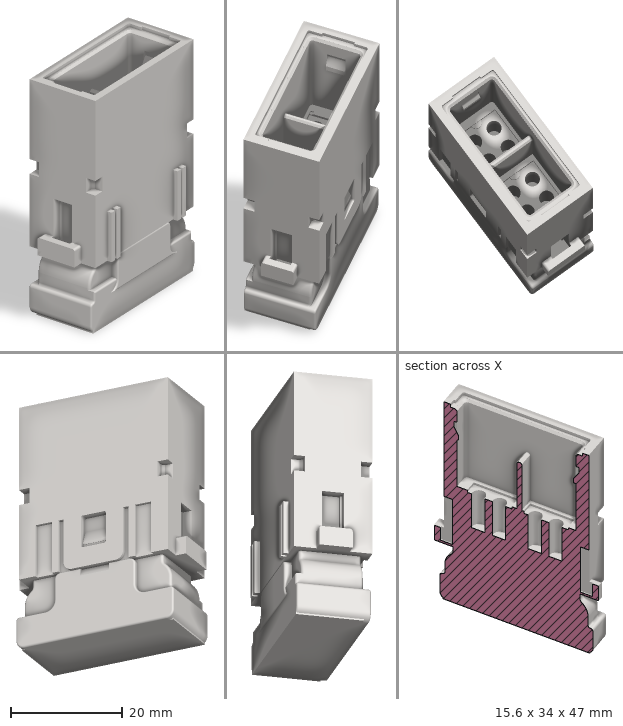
import cadquery as cq

TOTAL_HEIGHT = 46.95
EDGE_BREAK = 0.35

HOUSING_WIDTH = 14.6
HOUSING_LENGTH = 30.0
HOUSING_BOTTOM = 13.2
HALF_WIDTH = HOUSING_WIDTH / 2
HALF_LENGTH = HOUSING_LENGTH / 2

LIP_WIDTH = 11.6
LIP_LENGTH = 26.5
LIP_DEPTH = 0.7
LIP_CORNER_RADIUS = 0.4
LIP_NOTCH_WIDTH = 6.2
LIP_NOTCH_REACH = 0.35
CAVITY_WIDTH = 9.8
CAVITY_LENGTH = 24.4
CAVITY_CORNER_RADIUS = 0.6
CAVITY_LEAD_IN = 0.45
CHAMFER_MARGIN = 0.01
CAVITY_FLOOR = 28.0

DIVIDER_TOP = 39.2
DIVIDER_THICKNESS = 1.1
DIVIDER_Y = 0.6
DIVIDER_CHAMFER = 0.35

CATCH_WIDTH = 3.7
CATCH_POCKET_TOP = 43.1
CATCH_POCKET_DEPTH = 0.65
CATCH_RAMP_TOP = 41.85
CATCH_RAMP_BOTTOM = 40.1
CATCH_BOTTOM = 39.0
CATCH_REACH_REAR = 0.5
CATCH_REACH_FRONT = 0.3

MODULE_WIDTH = 8.5
MODULE_LENGTH = 9.1
MODULE_X = 0.05
MODULE_CENTERS_Y = (6.1, -5.55)
MODULE_DEPTH = 0.5
KEY_DEPTH = 0.25
KEY_RADIUS = 1.0
KEY_NOTCH_SIZE = 0.6
CONTACT_DIAMETER = 2.7
CONTACT_PITCH = 4.3
CONTACT_OFFSET_Y = -0.2
CONTACT_DEPTH = 8.0

CORNER_NOTCH_SIZE = 2.1
CORNER_NOTCH_CHAMFER = 0.5
CORNER_NOTCH_BOTTOM = 27.85
CORNER_NOTCH_HEIGHT = 2.95

SIDE_DETAIL_TOP = 23.2
SIDE_POCKET_WIDTH = 3.3
SIDE_POCKET_Y = 10.0
SIDE_POCKET_DEPTH = 0.7
SLOT_INNER_Y = 6.0
SLOT_WIDTH = 1.05
SLOT_DEPTH = 0.8
FLAP_CORNER_RADIUS = 1.6
WINDOW_WIDTH = 5.0
WINDOW_BOTTOM = 17.0
WINDOW_DEPTH = 1.6
WINDOW_CORNER_RADIUS = 0.35
TOOTH_WIDTH = 4.7
TOOTH_REACH = 1.0
TOOTH_TOP = 20.65
TOOTH_RAMP_END = 18.3
TOOTH_LIP = 17.75
TOOTH_STEP = 0.1
RIB_REACH = 1.0
RIB_THICKNESS = 1.05
RIB_CENTERS_Y = (10.8, 9.2, -9.2, -10.9)

EAR_REACH = 2.0
EAR_HEIGHT = 3.6
FRONT_EAR_WIDTH = 8.2
REAR_EAR_WIDTH = 6.2
EAR_CORNER_RADIUS = 0.45
GROOVE_WIDTH = 4.1
GROOVE_TOP = 24.4
GROOVE_DEPTH = 1.7
GROOVE_STEP_WIDTH = 0.37
GROOVE_STEP_DEPTH = 0.55
EAR_RELIEF_DEPTH = 0.6
EAR_RELIEF_HEIGHT = 3.0

BASE_LEFT = -6.85
BASE_RIGHT = 7.0
BASE_HALF_LENGTH = 15.85
BASE_TOP = 6.05
BASE_BOTTOM_RADIUS = 1.5
BASE_TOP_RADIUS = 0.6

NECK_LEFT = -5.65
NECK_RIGHT = 5.85
NECK_HALF_LENGTH = 14.85
NECK_FOOT_RADIUS = 0.4
NECK_ROUND_BOTTOM = 8.5
NECK_ROUND_TOP = 11.38
NECK_ROUND_TOP_Y = 13.5
NECK_ROUND_RADIUS = 3.76
NECK_HOLLOW_RADIUS = 0.94
NECK_HOLLOW_TOP = 12.1
NECK_TOP_HALF_LENGTH = 13.15
NECK_FILLET = 0.5
SHELF_TOP = 8.15

TONGUE_HALF_LENGTH = 8.1
TONGUE_FLARE_RADIUS = 2.0
TONGUE_CORNER_RADIUS = 1.1
TONGUE_NOTCH_WIDTH = 5.8
TONGUE_NOTCH_BOTTOM = 11.75
TONGUE_NOTCH_DEPTH = 0.8


def box(x_min, x_max, y_min, y_max, z_min, z_max):
    """Axis-aligned box between the given limits."""
    block = cq.Workplane("XY").box(x_max - x_min, y_max - y_min, z_max - z_min, centered=False)
    return block.translate((x_min, y_min, z_min))


def centered_box(width, length, z_min, z_max, x=0.0, y=0.0):
    """Upright box centred on (x, y)."""
    return box(x - width / 2, x + width / 2, y - length / 2, y + length / 2, z_min, z_max)


def both_ends(solid):
    """The solid together with its mirror image across Y = 0."""
    return solid.union(solid.mirror("XZ"))


def extrude_along_x(profile, x_min, x_max):
    """Extrude a closed (y, z) profile from x_min to x_max."""
    return profile.extrude(x_max - x_min).translate((x_min, 0, 0))


def make_cavity():
    well_top = TOTAL_HEIGHT - LIP_DEPTH
    lip = centered_box(LIP_WIDTH, LIP_LENGTH, well_top, TOTAL_HEIGHT)
    lip = lip.edges("|Z").fillet(LIP_CORNER_RADIUS)
    notch_length = LIP_LENGTH + 2 * LIP_NOTCH_REACH
    lip_notch = centered_box(LIP_NOTCH_WIDTH, notch_length, well_top, TOTAL_HEIGHT)
    well = centered_box(CAVITY_WIDTH, CAVITY_LENGTH, CAVITY_FLOOR, well_top)
    well = well.edges("|Z").fillet(CAVITY_CORNER_RADIUS)
    lead_in = centered_box(
        CAVITY_WIDTH + 2 * CAVITY_LEAD_IN,
        CAVITY_LENGTH + 2 * CAVITY_LEAD_IN,
        well_top - CAVITY_LEAD_IN,
        well_top,
    )
    lead_in = lead_in.edges("|Z").fillet(CAVITY_CORNER_RADIUS + CAVITY_LEAD_IN)
    lead_in = lead_in.faces("<Z").edges().chamfer(CAVITY_LEAD_IN - CHAMFER_MARGIN)
    return lip.union(lip_notch).union(well).union(lead_in)


def make_divider():
    divider = centered_box(CAVITY_WIDTH, DIVIDER_THICKNESS, CAVITY_FLOOR, DIVIDER_TOP, y=DIVIDER_Y)
    return divider.edges(">Z and |X").chamfer(DIVIDER_CHAMFER)


def make_catch_pocket(end):
    """Pocket sunk into the cavity end wall; end is +1 or -1."""
    depth = 2 * CATCH_POCKET_DEPTH
    return centered_box(
        CATCH_WIDTH, depth, CATCH_BOTTOM, CATCH_POCKET_TOP, y=end * CAVITY_LENGTH / 2
    )


def make_catch(end, reach):
    """Ramp rising from the pocket floor and standing out of the end wall by reach."""
    wall = CAVITY_LENGTH / 2
    root = end * (wall + CATCH_POCKET_DEPTH)
    tip = end * (wall - reach)
    profile = (
        cq.Workplane("YZ")
        .moveTo(root, CATCH_RAMP_TOP)
        .lineTo(tip, CATCH_RAMP_BOTTOM)
        .lineTo(tip, CATCH_BOTTOM)
        .lineTo(root, CATCH_BOTTOM)
        .close()
    )
    return extrude_along_x(profile, -CATCH_WIDTH / 2, CATCH_WIDTH / 2)


def make_module_recess(center_y):
    """Recess of one contact module with its index key and four contact holes."""
    face = CAVITY_FLOOR - MODULE_DEPTH
    recess = centered_box(MODULE_WIDTH, MODULE_LENGTH, face, CAVITY_FLOOR, MODULE_X, center_y)
    key = (
        cq.Workplane("XY", origin=(MODULE_X, center_y + MODULE_LENGTH / 2, face))
        .circle(KEY_RADIUS)
        .extrude(MODULE_DEPTH - KEY_DEPTH)
    )
    key_notch = centered_box(
        KEY_NOTCH_SIZE,
        KEY_NOTCH_SIZE,
        CAVITY_FLOOR - KEY_DEPTH,
        CAVITY_FLOOR,
        MODULE_X + (MODULE_WIDTH - KEY_NOTCH_SIZE) / 2,
        center_y - (MODULE_LENGTH + KEY_NOTCH_SIZE) / 2,
    )
    contacts = (
        cq.Workplane("XY", origin=(MODULE_X, center_y + CONTACT_OFFSET_Y, face))
        .rarray(CONTACT_PITCH, CONTACT_PITCH, 2, 2)
        .circle(CONTACT_DIAMETER / 2)
        .extrude(-CONTACT_DEPTH)
    )
    return recess.cut(key).union(key_notch).union(contacts)


def make_corner_notches():
    """Square cuts across the four vertical edges, each with a chamfered inner corner."""
    cuts = cq.Workplane("XY")
    for side_x in (-1, 1):
        for side_y in (-1, 1):
            notch = centered_box(
                2 * CORNER_NOTCH_SIZE,
                2 * CORNER_NOTCH_SIZE,
                CORNER_NOTCH_BOTTOM,
                CORNER_NOTCH_BOTTOM + CORNER_NOTCH_HEIGHT,
                side_x * HALF_WIDTH,
                side_y * HALF_LENGTH,
            )
            cuts = cuts.union(notch.edges("|Z").chamfer(CORNER_NOTCH_CHAMFER))
    return cuts


def make_side_pockets():
    """Two shallow pockets and the two slots that free the latch flap, on the -X wall."""
    pocket = box(
        -HALF_WIDTH,
        -HALF_WIDTH + SIDE_POCKET_DEPTH,
        SIDE_POCKET_Y - SIDE_POCKET_WIDTH / 2,
        SIDE_POCKET_Y + SIDE_POCKET_WIDTH / 2,
        HOUSING_BOTTOM,
        SIDE_DETAIL_TOP,
    )
    slot_profile = (
        cq.Workplane("YZ")
        .moveTo(SLOT_INNER_Y - FLAP_CORNER_RADIUS, HOUSING_BOTTOM)
        .radiusArc((SLOT_INNER_Y, HOUSING_BOTTOM + FLAP_CORNER_RADIUS), -FLAP_CORNER_RADIUS)
        .lineTo(SLOT_INNER_Y, SIDE_DETAIL_TOP)
        .lineTo(SLOT_INNER_Y + SLOT_WIDTH, SIDE_DETAIL_TOP)
        .lineTo(SLOT_INNER_Y + SLOT_WIDTH, HOUSING_BOTTOM)
        .close()
    )
    slot = extrude_along_x(slot_profile, -HALF_WIDTH, -HALF_WIDTH + SLOT_DEPTH)
    return both_ends(pocket.union(slot))


def make_window():
    floor_x = -HALF_WIDTH + WINDOW_DEPTH
    window = box(
        -HALF_WIDTH, floor_x, -WINDOW_WIDTH / 2, WINDOW_WIDTH / 2, WINDOW_BOTTOM, SIDE_DETAIL_TOP
    )
    return window.edges("|X").fillet(WINDOW_CORNER_RADIUS)


def make_window_tooth():
    """Ramped latch tooth standing on the floor of the window, stepped back at its foot."""
    root = -HALF_WIDTH + WINDOW_DEPTH
    tip = root - TOOTH_REACH
    profile = (
        cq.Workplane("XZ")
        .moveTo(root, TOOTH_TOP)
        .lineTo(tip, TOOTH_RAMP_END)
        .lineTo(tip, TOOTH_LIP)
        .lineTo(tip + TOOTH_STEP, TOOTH_LIP)
        .lineTo(tip + TOOTH_STEP, WINDOW_BOTTOM)
        .lineTo(root, WINDOW_BOTTOM)
        .close()
    )
    return profile.extrude(TOOTH_WIDTH / 2, both=True)


def make_ribs():
    """Coding ribs on the +X wall."""
    ribs = cq.Workplane("XY")
    for rib_y in RIB_CENTERS_Y:
        half = RIB_THICKNESS / 2
        rib = box(
            HALF_WIDTH, HALF_WIDTH + RIB_REACH, rib_y - half, rib_y + half, HOUSING_BOTTOM, SIDE_DETAIL_TOP
        )
        ribs = ribs.union(rib)
    return ribs


def make_groove():
    """Stepped groove in the -Y end wall, running down behind the ear."""
    bottom = HOUSING_BOTTOM + EAR_HEIGHT - EAR_RELIEF_HEIGHT
    step_y = -HALF_LENGTH + GROOVE_DEPTH
    half_wide = GROOVE_WIDTH / 2
    half_narrow = half_wide - GROOVE_STEP_WIDTH
    wide = box(-half_wide, half_wide, -HALF_LENGTH, step_y, bottom, GROOVE_TOP)
    narrow = box(-half_narrow, half_narrow, step_y, step_y + GROOVE_STEP_DEPTH, bottom, GROOVE_TOP)
    return wide.union(narrow)


def make_ear(width):
    """Ear on the -Y end, relieved where the groove runs down behind it."""
    ear_top = HOUSING_BOTTOM + EAR_HEIGHT
    ear = box(-width / 2, width / 2, -HALF_LENGTH - EAR_REACH, -HALF_LENGTH, HOUSING_BOTTOM, ear_top)
    ear = ear.edges(">Z and |Y").fillet(EAR_CORNER_RADIUS)
    relief = box(
        -GROOVE_WIDTH / 2,
        GROOVE_WIDTH / 2,
        -HALF_LENGTH - EAR_RELIEF_DEPTH,
        -HALF_LENGTH,
        ear_top - EAR_RELIEF_HEIGHT,
        ear_top,
    )
    return ear.cut(relief)


def make_housing():
    housing = centered_box(HOUSING_WIDTH, HOUSING_LENGTH, HOUSING_BOTTOM, TOTAL_HEIGHT)
    housing = housing.cut(make_cavity()).union(make_divider())
    for end, reach in ((1, CATCH_REACH_REAR), (-1, CATCH_REACH_FRONT)):
        housing = housing.cut(make_catch_pocket(end)).union(make_catch(end, reach))
    for center_y in MODULE_CENTERS_Y:
        housing = housing.cut(make_module_recess(center_y))
    housing = housing.cut(make_corner_notches())
    housing = housing.cut(make_side_pockets())
    housing = housing.cut(make_window()).union(make_window_tooth())
    housing = housing.cut(both_ends(make_groove()))
    housing = housing.union(make_ribs())
    housing = housing.union(make_ear(FRONT_EAR_WIDTH))
    return housing.union(make_ear(REAR_EAR_WIDTH).mirror("XZ"))


def extrude_neck(x_max, top):
    """Neck with ends that flare smoothly out to the base, from NECK_LEFT to x_max, cut off at top."""
    half = (
        cq.Workplane("YZ")
        .moveTo(0, 0)
        .lineTo(0, HOUSING_BOTTOM)
        .lineTo(NECK_TOP_HALF_LENGTH, HOUSING_BOTTOM)
        .lineTo(NECK_TOP_HALF_LENGTH, NECK_HOLLOW_TOP)
        .radiusArc((NECK_ROUND_TOP_Y, NECK_ROUND_TOP), -NECK_HOLLOW_RADIUS)
        .radiusArc((NECK_HALF_LENGTH, NECK_ROUND_BOTTOM), NECK_ROUND_RADIUS)
        .lineTo(NECK_HALF_LENGTH, BASE_TOP + NECK_FOOT_RADIUS)
        .radiusArc((NECK_HALF_LENGTH + NECK_FOOT_RADIUS, BASE_TOP), -NECK_FOOT_RADIUS)
        .lineTo(NECK_HALF_LENGTH + NECK_FOOT_RADIUS, 0)
        .close()
    )
    limit = box(NECK_LEFT, x_max, -BASE_HALF_LENGTH, BASE_HALF_LENGTH, 0, top)
    return both_ends(extrude_along_x(half, NECK_LEFT, x_max)).intersect(limit)


def round_broad_face(solid, face_x, radius, z_min, z_max):
    """Fillet the outline of the solid's face at face_x where it lies between z_min and z_max."""
    outline = cq.selectors.BoxSelector(
        (face_x - EDGE_BREAK, -BASE_HALF_LENGTH, z_min),
        (face_x + EDGE_BREAK, BASE_HALF_LENGTH, z_max),
    )
    return solid.edges(outline).fillet(radius)


def make_neck():
    """Upper neck and, below it, the shelf that reaches out to the +X face of the base."""
    below_housing = HOUSING_BOTTOM - EDGE_BREAK
    neck = extrude_neck(NECK_RIGHT, HOUSING_BOTTOM)
    neck = round_broad_face(neck, NECK_LEFT, NECK_FILLET, BASE_TOP, below_housing)
    neck = round_broad_face(neck, NECK_RIGHT, NECK_FILLET, BASE_TOP, below_housing)
    shelf = extrude_neck(BASE_RIGHT, SHELF_TOP)
    shelf = round_broad_face(shelf, NECK_LEFT, NECK_FILLET, BASE_TOP, SHELF_TOP - EDGE_BREAK)
    shelf = round_broad_face(shelf, BASE_RIGHT, EDGE_BREAK, BASE_TOP, HOUSING_BOTTOM)
    return neck.union(shelf)


def make_base_block():
    block = box(BASE_LEFT, BASE_RIGHT, -BASE_HALF_LENGTH, BASE_HALF_LENGTH, 0, BASE_TOP)
    block = block.edges("|X and <Z").fillet(BASE_BOTTOM_RADIUS)
    return block.edges("|X and >Z").fillet(BASE_TOP_RADIUS)


def make_tongue(x_min, x_max):
    half = (
        cq.Workplane("YZ")
        .moveTo(0, BASE_TOP)
        .lineTo(TONGUE_HALF_LENGTH + TONGUE_FLARE_RADIUS, BASE_TOP)
        .radiusArc((TONGUE_HALF_LENGTH, BASE_TOP + TONGUE_FLARE_RADIUS), TONGUE_FLARE_RADIUS)
        .lineTo(TONGUE_HALF_LENGTH, HOUSING_BOTTOM - TONGUE_CORNER_RADIUS)
        .radiusArc((TONGUE_HALF_LENGTH - TONGUE_CORNER_RADIUS, HOUSING_BOTTOM), -TONGUE_CORNER_RADIUS)
        .lineTo(0, HOUSING_BOTTOM)
        .close()
    )
    return both_ends(extrude_along_x(half, x_min, x_max))


def make_tongue_notch():
    """Ramped cut in the top edge of the -X tongue."""
    profile = (
        cq.Workplane("XZ")
        .moveTo(BASE_LEFT, TONGUE_NOTCH_BOTTOM)
        .lineTo(BASE_LEFT, HOUSING_BOTTOM)
        .lineTo(BASE_LEFT + TONGUE_NOTCH_DEPTH, HOUSING_BOTTOM)
        .close()
    )
    return profile.extrude(TONGUE_NOTCH_WIDTH / 2, both=True)


def make_latch_base():
    base = make_base_block().union(make_tongue(BASE_LEFT, NECK_LEFT))
    base = base.faces("<X").edges().fillet(EDGE_BREAK)
    base = base.faces(">X").edges().fillet(EDGE_BREAK)
    base = base.union(make_neck())
    rear_tongue = make_tongue(NECK_RIGHT, HALF_WIDTH).faces(">X").edges().fillet(EDGE_BREAK)
    base = base.union(rear_tongue)
    return base.cut(make_tongue_notch())


result = make_housing().union(make_latch_base())